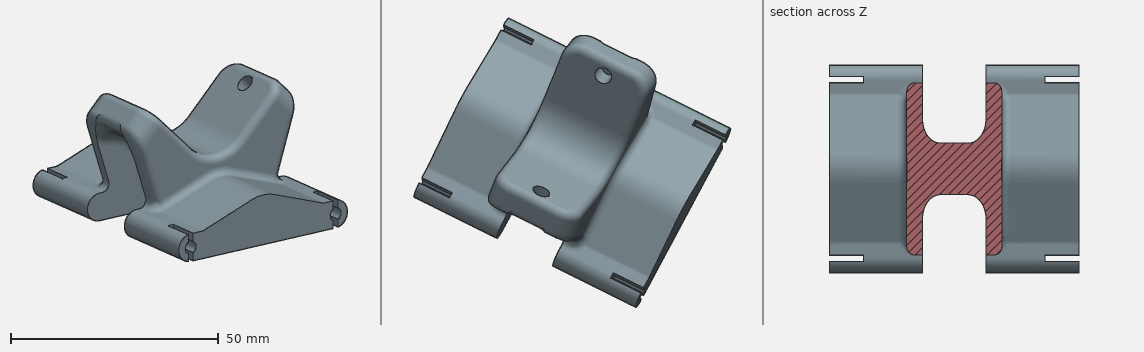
import cadquery as cq
import math

LENGTH_X = 60.0
WIDTH_Y = 50.0
PLATE_HEIGHT = 7.0
RIDGE_FOOT_Y = 17.9
RIDGE_SLOPE = math.radians(19.2)
RIDGE_ROUND = 10.0
LUG_RADIUS = PLATE_HEIGHT / 2
LUG_Y = WIDTH_Y / 2 - LUG_RADIUS

PIN_DIAMETER = 3.2
SLIT_WIDTH = 1.45
POCKET_DEPTH = 8.15

CRADLE_WIDTH = 23.0
CRADLE_TOP = 31.85
VALLEY_RADIUS = 10.0
VALLEY_Z = 17.45
ARM_LEAN = math.radians(17.9)
ARM_CORNER_RADIUS = 5.0
EDGE_RADIUS = 2.0

TUNNEL_WIDTH = 15.2
TUNNEL_RADIUS = 20.0
TUNNEL_AXIS_Z = 3.0
TUNNEL_DIP = math.radians(30)
TUNNEL_CORNER_RADIUS = 4.2
TUNNEL_BEND_RADIUS = 5.0
ARM_THICKNESS = 7.55

HOLE_DIAMETER = 2.1
COUNTERBORE_DIAMETER = 4.2
COUNTERBORE_DEPTH = 5.0
HOLE_Y = 16.25

CLEARANCE = 12.0

SLOPE_45 = math.radians(45)
ROOT_2 = math.sqrt(2)
HALF_ROOT = 1 / ROOT_2

V_OFFSET = VALLEY_Z - VALLEY_RADIUS * (ROOT_2 - 1)
TIP_ROUND_Z = CRADLE_TOP - EDGE_RADIUS
END_SUM = 2 * TIP_ROUND_Z - V_OFFSET + 2 * ROOT_2 * EDGE_RADIUS


def prism(sketch, width):
    """Extrude a YZ outline symmetrically about X = 0."""
    return sketch.extrude(width / 2, both=True)


def make_base():
    apex_z = PLATE_HEIGHT + RIDGE_FOOT_Y * math.tan(RIDGE_SLOPE)
    base = prism(
        cq.Workplane("YZ")
        .moveTo(-LUG_Y, 0)
        .lineTo(LUG_Y, 0)
        .threePointArc((WIDTH_Y / 2, LUG_RADIUS), (LUG_Y, PLATE_HEIGHT))
        .lineTo(RIDGE_FOOT_Y, PLATE_HEIGHT)
        .lineTo(0, apex_z)
        .lineTo(-RIDGE_FOOT_Y, PLATE_HEIGHT)
        .lineTo(-LUG_Y, PLATE_HEIGHT)
        .threePointArc((-WIDTH_Y / 2, LUG_RADIUS), (-LUG_Y, 0))
        .close(),
        LENGTH_X,
    )
    base = base.edges("|X and >Z").fillet(RIDGE_ROUND)
    for side in (-1, 1):
        foot = (0, side * RIDGE_FOOT_Y, PLATE_HEIGHT)
        base = base.edges("|X").edges(cq.NearestToPointSelector(foot)).fillet(EDGE_RADIUS)
    return base


def make_cradle():
    lean = math.tan(ARM_LEAN)
    root_y = RIDGE_FOOT_Y - PLATE_HEIGHT * lean
    shoulder_z = (END_SUM - root_y) / (1 + lean)
    shoulder_y = END_SUM - shoulder_z
    tip_y = (END_SUM - V_OFFSET) / 2
    tip_z = tip_y + V_OFFSET
    valley_y = VALLEY_RADIUS * HALF_ROOT
    cradle = prism(
        cq.Workplane("YZ")
        .moveTo(-root_y, 0)
        .lineTo(root_y, 0)
        .lineTo(shoulder_y, shoulder_z)
        .lineTo(tip_y, tip_z)
        .lineTo(valley_y, valley_y + V_OFFSET)
        .threePointArc((0, VALLEY_Z), (-valley_y, valley_y + V_OFFSET))
        .lineTo(-tip_y, tip_z)
        .lineTo(-shoulder_y, shoulder_z)
        .close(),
        CRADLE_WIDTH,
    )
    end_mid_y = (tip_y + shoulder_y) / 2
    end_mid_z = (tip_z + shoulder_z) / 2
    for side in (-1, 1):
        for x in (-CRADLE_WIDTH / 2, CRADLE_WIDTH / 2):
            corner = (x, side * end_mid_y, end_mid_z)
            cradle = cradle.edges(cq.NearestToPointSelector(corner)).fillet(ARM_CORNER_RADIUS)
    return cradle.edges("not <Z").fillet(EDGE_RADIUS)


def make_tunnel():
    """Cutter for the strap tunnel under the +Y arm."""
    ceiling_offset = V_OFFSET - ROOT_2 * ARM_THICKNESS
    reach = TUNNEL_RADIUS + TUNNEL_BEND_RADIUS
    rise = ceiling_offset + ROOT_2 * TUNNEL_BEND_RADIUS + LUG_Y - TUNNEL_AXIS_Z
    bend_angle = SLOPE_45 + math.acos(rise / (ROOT_2 * reach))
    bend_y = LUG_Y - reach * math.cos(bend_angle)
    bend_z = TUNNEL_AXIS_Z + reach * math.sin(bend_angle)
    mouth_y = (END_SUM - ceiling_offset) / 2 - ROOT_2 * EDGE_RADIUS
    mouth_z = (END_SUM + ceiling_offset) / 2

    def on_arc(angle):
        y = LUG_Y - TUNNEL_RADIUS * math.cos(angle)
        z = TUNNEL_AXIS_Z + TUNNEL_RADIUS * math.sin(angle)
        return (y, z)

    def on_bend(angle):
        y = bend_y + TUNNEL_BEND_RADIUS * math.cos(angle)
        z = bend_z - TUNNEL_BEND_RADIUS * math.sin(angle)
        return (y, z)

    start_angle = -TUNNEL_DIP
    mouth_shift = EDGE_RADIUS * HALF_ROOT
    tool = prism(
        cq.Workplane("YZ")
        .moveTo(*on_arc(start_angle))
        .threePointArc(on_arc((start_angle + bend_angle) / 2), on_arc(bend_angle))
        .threePointArc(on_bend((bend_angle + SLOPE_45) / 2), on_bend(SLOPE_45))
        .lineTo(mouth_y + mouth_shift, mouth_z - mouth_shift)
        .threePointArc((mouth_y + EDGE_RADIUS, mouth_z), (mouth_y + mouth_shift, mouth_z + mouth_shift))
        .lineTo(WIDTH_Y / 2 + CLEARANCE, mouth_z + mouth_shift)
        .lineTo(WIDTH_Y / 2 + CLEARANCE, on_arc(start_angle)[1])
        .close(),
        TUNNEL_WIDTH,
    )
    for x in (-TUNNEL_WIDTH / 2, TUNNEL_WIDTH / 2):
        edge_point = (x, *on_arc((start_angle + bend_angle) / 2))
        tool = tool.edges(cq.NearestToPointSelector(edge_point)).fillet(TUNNEL_CORNER_RADIUS)
    return tool


def make_arm_hole():
    """Cutter for the stepped hole square to the +Y face of the V."""
    face = cq.Plane(origin=(0, HOLE_Y, HOLE_Y + V_OFFSET), xDir=(1, 0, 0), normal=(0, -1, 1))
    drill = cq.Workplane(face).circle(HOLE_DIAMETER / 2).extrude(-CLEARANCE)
    return drill.union(cq.Workplane(face).circle(COUNTERBORE_DIAMETER / 2).extrude(-COUNTERBORE_DEPTH))


def make_pin_pocket():
    """Cutter for the pin bore and slit at the +X end of the +Y lug."""
    start = LENGTH_X / 2 - POCKET_DEPTH
    bore = (
        cq.Workplane("YZ", origin=(start, LUG_Y, LUG_RADIUS))
        .circle(PIN_DIAMETER / 2)
        .extrude(POCKET_DEPTH)
    )
    slit = cq.Workplane("XY").box(POCKET_DEPTH, SLIT_WIDTH, PLATE_HEIGHT, centered=(False, True, False))
    return bore.union(slit.translate((start, LUG_Y, 0)))


def blend_roots(body):
    """Fillet the inner corners where the cradle rises from the base."""
    roots = cq.selectors.BoxSelector(
        (-CRADLE_WIDTH / 2 - EDGE_RADIUS, -LUG_Y, LUG_RADIUS),
        (CRADLE_WIDTH / 2 + EDGE_RADIUS, LUG_Y, VALLEY_Z - EDGE_RADIUS),
    )
    return body.edges(roots).fillet(EDGE_RADIUS)


body = blend_roots(make_base().union(make_cradle()))
arm_cutter = make_tunnel().union(make_arm_hole())
pocket = make_pin_pocket()
pockets = pocket.union(pocket.mirror("YZ"))
cutters = arm_cutter.union(pockets)
result = body.cut(cutters).cut(cutters.mirror("XZ"))